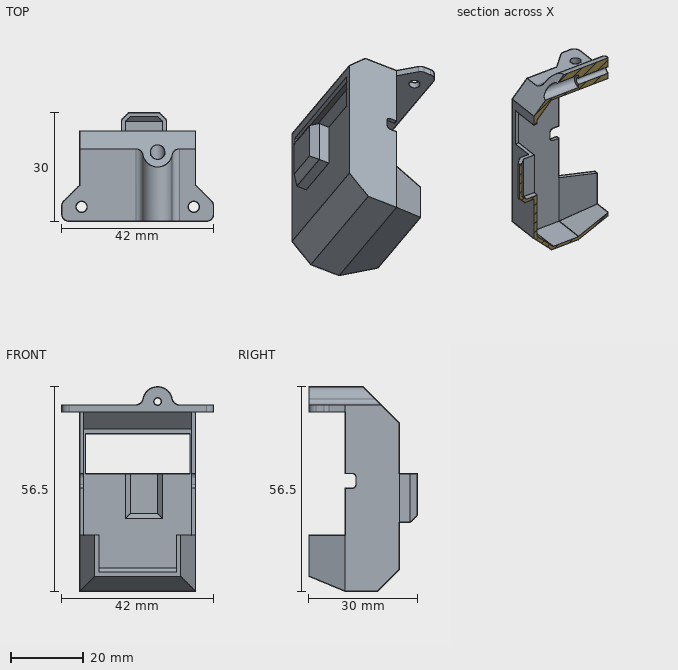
import cadquery as cq
import math


width = 32.0
depth = 25.0
wall = 1.1
roof_top = 51.5
roof_thickness = 2.0
roof_bottom = roof_top - roof_thickness
bottom_chamfer = 6.0
roof_chamfer = 5.0
roof_slope_sum = depth + roof_top - roof_chamfer
side_front = 10.0

collar_top = 15.5
collar_angle = math.radians(22.5)
collar_inset = side_front * math.tan(collar_angle)
collar_wall = wall / math.cos(collar_angle)

window_width = 28.8
window_bottom = 32.5
window_height = 11.0
notch_height = 4.0
notch_depth = 3.0
notch_radius = 1.0

hood_width = 12.5
hood_x = 1.75
hood_depth = 5.0
hood_bottom = 19.0
hood_chamfer = 2.0
inner_hood_chamfer = hood_chamfer - wall * (2 - math.sqrt(2))

ear_span = 42.0
ear_reach = (ear_span - width) / 2
ear_back = side_front
ear_corner_radius = 2.0
screw_diameter = 3.0
screw_spacing = 31.0
screw_y = 4.0

boss_x = 5.5
boss_top = 56.5
boss_radius = 4.1
boss_z = boss_top - boss_radius
boss_fillet = 2.0
exit_diameter = 2.0
tube_diameter = 4.0
tube_seat_y = side_front


def box(x0, x1, y0, y1, z0, z1):
    return cq.Workplane("XY").box(x1 - x0, y1 - y0, z1 - z0, centered=False).translate((x0, y0, z0))


def extrude_along_x(points, half_width):
    """Extrude a (Y, Z) outline symmetrically about X = 0."""
    return cq.Workplane("YZ").polyline(points).close().extrude(half_width, both=True)


def make_shell():
    outer = extrude_along_x(
        [
            (side_front, 0),
            (depth - bottom_chamfer, 0),
            (depth, bottom_chamfer),
            (depth, roof_top - roof_chamfer),
            (depth - roof_chamfer, roof_top),
            (side_front, roof_top),
        ],
        width / 2,
    )
    inner_back = depth - wall
    floor_slope_rise = bottom_chamfer - depth + wall * math.sqrt(2)
    inner_slope_sum = roof_slope_sum - roof_thickness * math.sqrt(2)
    cavity = extrude_along_x(
        [
            (side_front, wall),
            (wall - floor_slope_rise, wall),
            (inner_back, inner_back + floor_slope_rise),
            (inner_back, inner_slope_sum - inner_back),
            (inner_slope_sum - roof_bottom, roof_bottom),
            (side_front, roof_bottom),
        ],
        width / 2 - wall,
    )
    return outer.cut(cavity)


def collar_frustum(back_inset, front_inset):
    """Solid tapering from Y = side_front to Y = 0 at its sides and bottom, flat at collar_top.

    The lofted rectangles are centred on the roof height, so the upper taper lies above the collar.
    """
    full_height = 2 * roof_top
    solid = (
        cq.Workplane("XZ", origin=(0, side_front, roof_top))
        .rect(width - 2 * back_inset, full_height - 2 * back_inset)
        .workplane(offset=side_front)
        .rect(width - 2 * front_inset, full_height - 2 * front_inset)
        .loft(ruled=True)
    )
    return solid.intersect(box(-width, width, 0, side_front, 0, collar_top))


def make_collar():
    outer = collar_frustum(0, collar_inset)
    inner = collar_frustum(collar_wall, collar_inset + collar_wall)
    return outer.cut(inner)


def make_roof_plate():
    half_body = width / 2
    half_span = ear_span / 2
    plate = (
        cq.Workplane("XY", origin=(0, 0, roof_bottom))
        .polyline(
            [
                (-half_span, 0),
                (half_span, 0),
                (half_span, ear_back - ear_reach),
                (half_body, ear_back),
                (-half_body, ear_back),
                (-half_span, ear_back - ear_reach),
            ]
        )
        .close()
        .extrude(roof_thickness)
    )
    return plate.edges("|Z and (>X or <X)").fillet(ear_corner_radius)


def make_boss():
    """Round ridge blended into the roof by fillets and cut off along the roof slope."""
    rise = boss_z - roof_top
    reach = math.sqrt((boss_radius + boss_fillet) ** 2 - (boss_fillet - rise) ** 2)
    share = boss_radius / (boss_radius + boss_fillet)
    tangent_x = reach * share
    tangent_z = boss_z + (boss_fillet - rise) * share
    fillet_z = roof_top + boss_fillet
    tangent_angle = math.atan2(tangent_z - fillet_z, tangent_x - reach) % (2 * math.pi)
    fillet_mid_angle = (tangent_angle + 1.5 * math.pi) / 2
    mid_x = reach + boss_fillet * math.cos(fillet_mid_angle)
    mid_z = fillet_z + boss_fillet * math.sin(fillet_mid_angle)
    boss = (
        cq.Workplane("XZ", origin=(boss_x, 0, 0))
        .moveTo(-reach, roof_bottom)
        .lineTo(-reach, roof_top)
        .threePointArc((-mid_x, mid_z), (-tangent_x, tangent_z))
        .threePointArc((0, boss_top), (tangent_x, tangent_z))
        .threePointArc((mid_x, mid_z), (reach, roof_top))
        .lineTo(reach, roof_bottom)
        .close()
        .extrude(-depth)
    )
    envelope = extrude_along_x(
        [
            (0, roof_bottom),
            (roof_slope_sum - roof_top, roof_bottom),
            (roof_slope_sum - roof_top, roof_top),
            (roof_slope_sum - boss_top, boss_top),
            (0, boss_top),
        ],
        width / 2,
    )
    return boss.intersect(envelope)


def hood_block(inset, chamfer, y_start):
    """Hood body moved inward by inset, chamfered on its back side and bottom edges."""
    block = box(
        hood_x - hood_width / 2 + inset,
        hood_x + hood_width / 2 - inset,
        y_start,
        depth + hood_depth - inset,
        hood_bottom + inset,
        window_bottom,
    )
    return block.faces(">Y").edges("|Z or <Z").chamfer(chamfer)


def bore_along_y(diameter, y0, y1):
    profile = cq.Workplane("XZ", origin=(boss_x, y0, boss_z)).circle(diameter / 2)
    return profile.extrude(y0 - y1)


def make_notches():
    notch = box(
        -width, width, 0, side_front + notch_depth, window_bottom - notch_height, window_bottom
    )
    return notch.edges("|X and >Y").fillet(notch_radius)


def make_window():
    return box(
        -window_width / 2,
        window_width / 2,
        depth - wall,
        depth,
        window_bottom,
        window_bottom + window_height,
    )


def make_screw_holes():
    return (
        cq.Workplane("XY", origin=(0, screw_y, roof_bottom))
        .pushPoints([(-screw_spacing / 2, 0), (screw_spacing / 2, 0)])
        .circle(screw_diameter / 2)
        .extrude(roof_thickness)
    )


result = (
    make_shell()
    .union(make_collar())
    .union(make_roof_plate())
    .union(make_boss())
    .union(hood_block(0, hood_chamfer, depth))
    .cut(hood_block(wall, inner_hood_chamfer, depth - wall))
    .cut(make_window())
    .cut(make_notches())
    .cut(make_screw_holes())
    .cut(bore_along_y(exit_diameter, 0, tube_seat_y))
    .cut(bore_along_y(tube_diameter, tube_seat_y, depth))
)